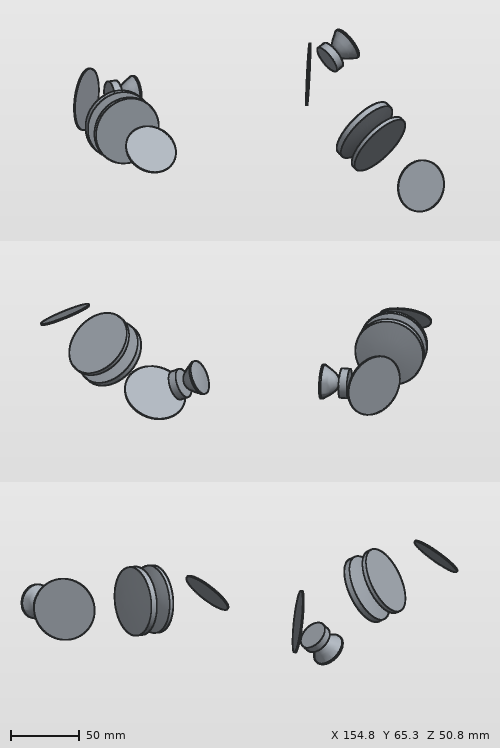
import cadquery as cq
import math

mirror_thickness = 1.0
mirror_tilt = 45

entry_mirror_diameter = 45.7
exit_mirror_diameter = 38.0
exit_mirror_x = 124.5

biconvex_diameter = 50.8
biconvex_x = 62.0
biconvex_edge = 4.8
biconvex_sag = 1.5

planoconvex_diameter = 50.0
planoconvex_flat_x = 79.1
planoconvex_edge = 3.3
planoconvex_sag = 5.1

filter_diameter = 22.0
filter_thickness = 6.2
filter_y = 21.5

condenser_diameter = 25.4
condenser_tip_y = 26.0
condenser_front_sag = 11.5
condenser_rim = 1.4
condenser_back_sag = 1.0
condenser_mid_radius = 7.1
condenser_mid_sag = 3.3


def make_disc(diameter, thickness):
    """Flat disc centred on the origin, with its axis along Z."""
    return cq.Workplane("XY").circle(diameter / 2).extrude(thickness).translate((0, 0, -thickness / 2))


def make_entry_mirror():
    """Upright mirror turned about Z, folding the light between Y and X."""
    upright = make_disc(entry_mirror_diameter, mirror_thickness).rotate((0, 0, 0), (1, 0, 0), 90)
    return upright.rotate((0, 0, 0), (0, 0, 1), -mirror_tilt)


def make_exit_mirror():
    """Mirror tipped about Y, folding the light between X and Z."""
    tipped = make_disc(exit_mirror_diameter, mirror_thickness).rotate((0, 0, 0), (0, 1, 0), mirror_tilt)
    return tipped.translate((exit_mirror_x, 0, 0))


def sag_at(radius, rim_radius, rim_sag):
    """Depth below the apex, at a radius, of a spherical cap of the given rim size."""
    sphere_radius = (rim_radius**2 + rim_sag**2) / (2 * rim_sag)
    return sphere_radius - math.sqrt(sphere_radius**2 - radius**2)


def make_biconvex_lens():
    radius = biconvex_diameter / 2
    half_edge = biconvex_edge / 2
    apex = half_edge + biconvex_sag
    mid_radius = radius / 2
    mid_x = apex - sag_at(mid_radius, radius, biconvex_sag)
    profile = (
        cq.Workplane("XY")
        .moveTo(-apex, 0)
        .threePointArc((-mid_x, mid_radius), (-half_edge, radius))
        .lineTo(half_edge, radius)
        .threePointArc((mid_x, mid_radius), (apex, 0))
        .close()
    )
    return profile.revolve(360, (0, 0, 0), (1, 0, 0)).translate((biconvex_x, 0, 0))


def make_planoconvex_lens():
    radius = planoconvex_diameter / 2
    apex = planoconvex_edge + planoconvex_sag
    mid_radius = radius / 2
    mid_x = apex - sag_at(mid_radius, radius, planoconvex_sag)
    profile = (
        cq.Workplane("XY")
        .moveTo(-apex, 0)
        .threePointArc((-mid_x, mid_radius), (-planoconvex_edge, radius))
        .lineTo(0, radius)
        .lineTo(0, 0)
        .close()
    )
    return profile.revolve(360, (0, 0, 0), (1, 0, 0)).translate((planoconvex_flat_x, 0, 0))


def make_filter():
    facing_y = make_disc(filter_diameter, filter_thickness).rotate((0, 0, 0), (1, 0, 0), 90)
    return facing_y.translate((0, filter_y, 0))


def make_condenser_lens():
    """Aspheric lens with its steep nose toward -Y and a shallow spherical back."""
    radius = condenser_diameter / 2
    back_rim_y = condenser_front_sag + condenser_rim
    back_y = back_rim_y + condenser_back_sag
    mid_radius = radius / 2
    back_mid_y = back_y - sag_at(mid_radius, radius, condenser_back_sag)
    nose_tangent = (1, 0)
    flank_tangent = (radius - condenser_mid_radius, condenser_front_sag - condenser_mid_sag)
    profile = (
        cq.Workplane("XY")
        .moveTo(0, 0)
        .spline(
            [(condenser_mid_radius, condenser_mid_sag), (radius, condenser_front_sag)],
            tangents=[nose_tangent, flank_tangent],
            includeCurrent=True,
        )
        .lineTo(radius, back_rim_y)
        .threePointArc((mid_radius, back_mid_y), (0, back_y))
        .close()
    )
    return profile.revolve(360, (0, 0, 0), (0, 1, 0)).translate((0, condenser_tip_y, 0))


entry_mirror = make_entry_mirror()
exit_mirror = make_exit_mirror()
biconvex_lens = make_biconvex_lens()
planoconvex_lens = make_planoconvex_lens()
optical_filter = make_filter()
condenser_lens = make_condenser_lens()

result = cq.Compound.makeCompound([
    entry_mirror.val(),
    exit_mirror.val(),
    biconvex_lens.val(),
    planoconvex_lens.val(),
    optical_filter.val(),
    condenser_lens.val(),
])